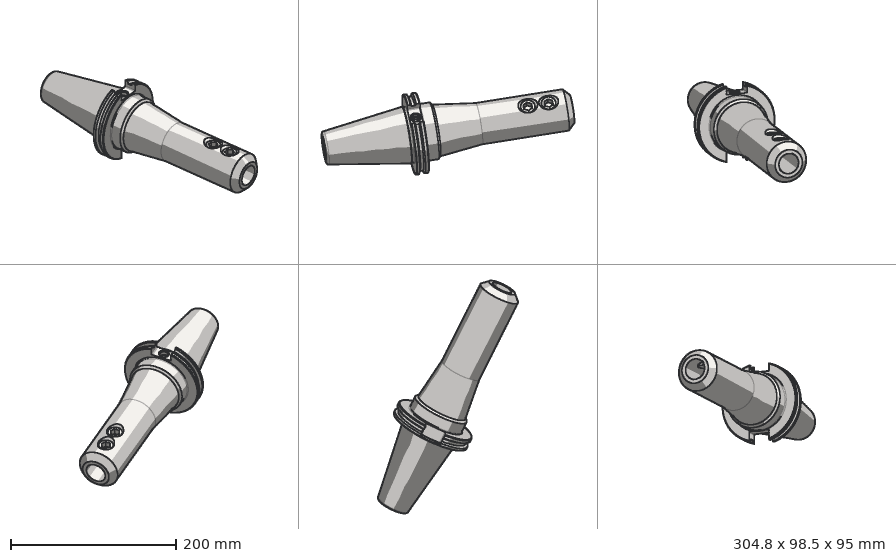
import cadquery as cq
import math

total_length = 304.8

nose_fillet = 3.0
gauge_dia = 69.8
taper_end = 101.2
taper_ratio = 7 / 24
nose_dia = gauge_dia - taper_end * taper_ratio

neck_dia = 68.3
neck_chamfer = (gauge_dia - neck_dia) / 2
neck_fillet = 1.0

flange_dia = 98.5
flange_start = 105.0
flange_end = 120.5
flange_front_chamfer = 0.5
flange_rear_chamfer = 1.0
groove_center = 112.2
groove_top_width = 7.3
groove_floor_width = 4.0
groove_depth = 3.7

collar_dia = 69.8
collar_fillet = 1.2
collar_end = 135.0
collar_chamfer_length = 2.7
collar_chamfer_depth = 3.0

barrel_dia = 51.0
barrel_start = 190.2
tip_chamfer_length = 8.0
tip_chamfer_depth = 8.0

mouth_dia = 28.3
pilot_dia = 26.2
pilot_depth = 5.5
drawbar_dia = 22.0
tool_bore_dia = 25.3
tool_bore_depth = 76.2
bore_cone_length = 2.0

keyway_width = 26.2
keyway_corner_fillet = 1.0
upper_key_floor = 37.8
lower_key_floor = 35.5

key_hole_mouth_dia = 12.5
key_hole_dia = 10.0
key_hole_depth = 6.0
key_pocket_dia = 8.0
key_pocket_depth = 4.5
drill_point_angle = 118.0

screw_positions = [250.5, 276.0]
screw_dia = 17.5
screw_top = 22.3
screw_bottom = 9.5
socket_across_flats = 10.0
socket_depth = 7.5

NOSE_R = nose_dia / 2
GAUGE_R = gauge_dia / 2
NECK_R = neck_dia / 2
FLANGE_R = flange_dia / 2
COLLAR_R = collar_dia / 2
BARREL_R = barrel_dia / 2


def cone_along(start, direction, base_radius, end_radius, length):
    """Cone frustum, or a pointed cone when its end radius is zero."""
    return cq.Workplane(obj=cq.Solid.makeCone(
        base_radius, end_radius, length, cq.Vector(*start), cq.Vector(*direction)))


def cylinder_along(start, direction, diameter, length):
    return cq.Workplane(obj=cq.Solid.makeCylinder(
        diameter / 2, length, cq.Vector(*start), cq.Vector(*direction)))


def turned_body():
    """Outer shape, revolved about X."""
    groove_radius = FLANGE_R - groove_depth
    cone_start = collar_end + collar_chamfer_length
    profile = (
        cq.Workplane("XY")
        .moveTo(0, 0)
        .lineTo(0, NOSE_R)
        .lineTo(taper_end, GAUGE_R)
        .lineTo(taper_end + neck_chamfer, NECK_R)
        .lineTo(flange_start - neck_fillet, NECK_R)
        .radiusArc((flange_start, NECK_R + neck_fillet), -neck_fillet)
        .lineTo(flange_start, FLANGE_R - flange_front_chamfer)
        .lineTo(flange_start + flange_front_chamfer, FLANGE_R)
        .lineTo(groove_center - groove_top_width / 2, FLANGE_R)
        .lineTo(groove_center - groove_floor_width / 2, groove_radius)
        .lineTo(groove_center + groove_floor_width / 2, groove_radius)
        .lineTo(groove_center + groove_top_width / 2, FLANGE_R)
        .lineTo(flange_end - flange_rear_chamfer, FLANGE_R)
        .lineTo(flange_end, FLANGE_R - flange_rear_chamfer)
        .lineTo(flange_end, COLLAR_R + collar_fillet)
        .radiusArc((flange_end + collar_fillet, COLLAR_R), -collar_fillet)
        .lineTo(collar_end, COLLAR_R)
        .lineTo(cone_start, COLLAR_R - collar_chamfer_depth)
        .lineTo(barrel_start, BARREL_R)
        .lineTo(total_length - tip_chamfer_length, BARREL_R)
        .lineTo(total_length, BARREL_R - tip_chamfer_depth)
        .lineTo(total_length, 0)
        .close()
    )
    body = profile.revolve(360, (0, 0, 0), (1, 0, 0))
    return body.faces("<X").edges().fillet(nose_fillet)


def axial_bore():
    """Chamfered pilot, drawbar hole and tool bore, all on the part axis."""
    mouth_chamfer = (mouth_dia - pilot_dia) / 2
    along_x = (1, 0, 0)
    mouth = cone_along((0, 0, 0), along_x, mouth_dia / 2, pilot_dia / 2, mouth_chamfer)
    pilot = cylinder_along((0, 0, 0), along_x, pilot_dia, pilot_depth)
    step = cone_along((pilot_depth, 0, 0), along_x, pilot_dia / 2, drawbar_dia / 2, bore_cone_length)
    drawbar_hole = cylinder_along((0, 0, 0), along_x, drawbar_dia, total_length)
    tool_bore = cylinder_along((total_length, 0, 0), (-1, 0, 0), tool_bore_dia, tool_bore_depth)
    return drawbar_hole.union(mouth).union(pilot).union(step).union(tool_bore)


def keyway(floor_height, side):
    """Slot across the flange above (side = 1) or below (side = -1) the axis."""
    height = FLANGE_R
    length = flange_end - flange_start
    slot = cq.Workplane("XY").box(length, keyway_width, height, centered=(True, True, False))
    slot = slot.edges("|X and <Z").fillet(keyway_corner_fillet)
    slot = slot.translate(((flange_start + flange_end) / 2, 0, floor_height))
    if side < 0:
        slot = slot.mirror("XY")
    return slot


def key_floor_hole():
    """Chamfered, stepped blind hole with a drill point."""
    x = (flange_start + flange_end) / 2
    down = (0, 0, -1)
    chamfer = (key_hole_mouth_dia - key_hole_dia) / 2
    pocket_top = upper_key_floor - key_hole_depth
    point_top = pocket_top - key_pocket_depth
    point_length = key_pocket_dia / 2 / math.tan(math.radians(drill_point_angle / 2))
    mouth = cone_along((x, 0, upper_key_floor), down, key_hole_mouth_dia / 2, key_hole_dia / 2, chamfer)
    bore = cylinder_along((x, 0, upper_key_floor), down, key_hole_dia, key_hole_depth)
    pocket = cylinder_along((x, 0, pocket_top), down, key_pocket_dia, key_pocket_depth)
    point = cone_along((x, 0, point_top), down, key_pocket_dia / 2, 0, point_length)
    return mouth.union(bore).union(pocket).union(point)


def screw_hole(x):
    """Hole from the bore to the barrel surface, with a 45 degree countersink down to the screw top."""
    sink_height = BARREL_R - screw_top
    hole = cylinder_along((x, 0, 0), (0, 0, 1), screw_dia, screw_top)
    sink = cone_along((x, 0, screw_top), (0, 0, 1), screw_dia / 2, screw_dia / 2 + sink_height, sink_height)
    return hole.union(sink)


def make_holder():
    holder = turned_body().cut(axial_bore())
    holder = holder.cut(keyway(upper_key_floor, 1)).cut(keyway(lower_key_floor, -1))
    holder = holder.cut(key_floor_hole())
    for x in screw_positions:
        holder = holder.cut(screw_hole(x))
    return holder


def make_set_screw(x):
    """Headless screw with a hexagon socket whose corners point along Y."""
    shank = cylinder_along((x, 0, screw_bottom), (0, 0, 1), screw_dia, screw_top - screw_bottom)
    across_corners = socket_across_flats / math.cos(math.pi / 6)
    socket = (
        cq.Workplane("XY")
        .polygon(6, across_corners)
        .extrude(socket_depth)
        .rotate((0, 0, 0), (0, 0, 1), 90)
        .translate((x, 0, screw_top - socket_depth))
    )
    return shank.cut(socket)


holder = make_holder()
set_screws = [make_set_screw(x) for x in screw_positions]

result = cq.Compound.makeCompound([holder.val(), *[screw.val() for screw in set_screws]])